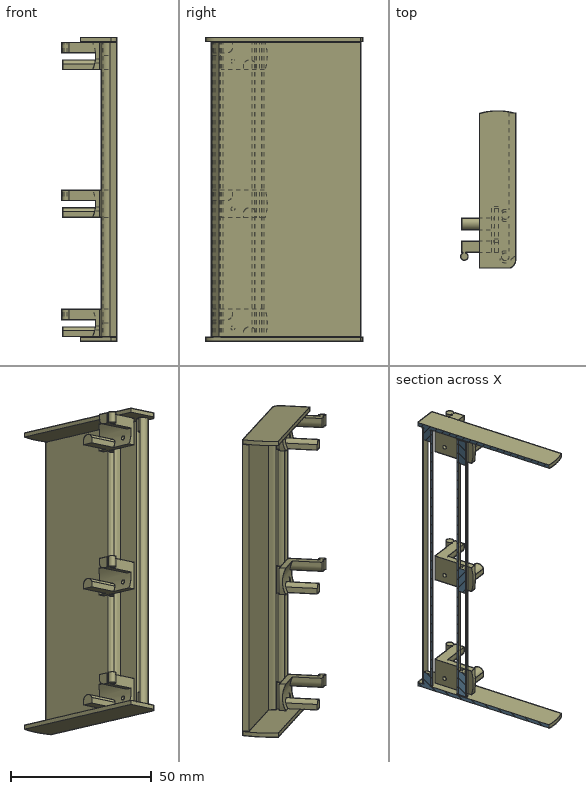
import cadquery as cq
import math

TOTAL_HEIGHT = 107.9
CAP_THICKNESS = 1.5
CAP_CLEARANCE = 0.2
PANEL_BOTTOM = CAP_THICKNESS + CAP_CLEARANCE
PANEL_HEIGHT = TOTAL_HEIGHT - 2 * PANEL_BOTTOM

CAP_WIDTH = 13.0
CAP_LENGTH = 55.9
CAP_BACK_BULGE = 1.0
CAP_NOSE_WIDTH = 2.0
CAP_NOSE_LENGTH = 3.0
CAP_NOSE_BULGE = 0.5
PLUG_LENGTH = 5.0

PANEL_THICKNESS = 2.4
PANEL_BACK_Y = 55.1

SOCKET_OUTER_RADIUS = 2.2
SOCKET_BORE_RADIUS = 1.35
SOCKET_X = -3.8
FRONT_SOCKET_Y = 4.0
CLIP_SOCKET_Y = 18.7
CLIP_MOUTH = (-65.0, 65.0)
FRONT_MOUTH = (-36.0, 65.0)
MOUTH_CUT_REACH = 2 * SOCKET_OUTER_RADIUS

BRACKET_HEIGHT = 9.7
BRACKET_BOTTOMS = (PANEL_BOTTOM, 44.0, TOTAL_HEIGHT - PANEL_BOTTOM - BRACKET_HEIGHT)
BASE_BACK_X = -6.3
BASE_THICKNESS = 2.4
BASE_HOLLOW_DEPTH = 1.1
BASE_FRONT_Y = 5.6
BASE_END_Y = 21.9
BASE_CORNER_Y = 21.1
BASE_HOLE_DIAMETER = 1.4
BASE_HOLE_Y = 9.7
BASE_HOLE_DROP = 6.7
BRACKET_REACH_X = -19.3
ARM_WIDTH = 4.0
ARM_HEIGHT = 3.8
ARM_FILLET = 2.2
PIN_DIAMETER = 2.7
PIN_X = -19.6 + PIN_DIAMETER / 2
PIN_Y = 4.1
NECK_WIDTH = 1.1
PEG_WIDTH = 4.2
PEG_Y = 15.6
PEG_SIDE_HEIGHT = 2.0
PEG_HEIGHT = 3.5


def polar_point(center_y, radius, angle):
    """Point around a socket axis, at an angle in degrees from -X toward +Y."""
    turn = math.radians(angle)
    return (SOCKET_X - radius * math.cos(turn), center_y + radius * math.sin(turn))


def round_rod(points, radius):
    """Rods of the panel's length, centered at the given XY points."""
    return cq.Workplane().pushPoints(points).circle(radius).extrude(PANEL_HEIGHT)


def socket_opening(center_y, mouth):
    """Round bore of a socket together with the wedge that opens it toward -X."""
    start, end = mouth
    wedge = (
        cq.Workplane()
        .polyline([
            (SOCKET_X, center_y),
            polar_point(center_y, MOUTH_CUT_REACH, start),
            polar_point(center_y, MOUTH_CUT_REACH, (start + end) / 2),
            polar_point(center_y, MOUTH_CUT_REACH, end),
        ])
        .close()
        .extrude(PANEL_HEIGHT)
    )
    return round_rod([(SOCKET_X, center_y)], SOCKET_BORE_RADIUS).union(wedge)


def socket_foot(start_y, end_y):
    """Block with flat side walls that joins a socket to the plate."""
    return (
        cq.Workplane()
        .box(-PANEL_THICKNESS - SOCKET_X, end_y - start_y, PANEL_HEIGHT, centered=False)
        .translate((SOCKET_X, start_y, 0))
    )


def socket_lips(center_y, mouth):
    """Full rounds on both edges of a socket's mouth."""
    lip_radius = (SOCKET_OUTER_RADIUS - SOCKET_BORE_RADIUS) / 2
    lip_center_radius = SOCKET_BORE_RADIUS + lip_radius
    return round_rod([polar_point(center_y, lip_center_radius, angle) for angle in mouth], lip_radius)


def add_socket(plate, center_y, mouth, foot_start_y):
    """Plate with one socket whose foot runs from foot_start_y to the socket's rear wall."""
    tube = round_rod([(SOCKET_X, center_y)], SOCKET_OUTER_RADIUS)
    foot = socket_foot(foot_start_y, center_y + SOCKET_OUTER_RADIUS)
    solid = plate.union(tube).union(foot)
    return solid.cut(socket_opening(center_y, mouth)).union(socket_lips(center_y, mouth))


def make_panel():
    """Plate with a 45 degree front edge tangent to the front socket, plus two sockets."""
    bevel_offset = SOCKET_OUTER_RADIUS * math.sqrt(2)
    bevel_outer_y = FRONT_SOCKET_Y - SOCKET_X - bevel_offset
    panel = (
        cq.Workplane()
        .polyline([
            (0, bevel_outer_y),
            (0, PANEL_BACK_Y),
            (-PANEL_THICKNESS, PANEL_BACK_Y),
            (-PANEL_THICKNESS, bevel_outer_y - PANEL_THICKNESS),
        ])
        .close()
        .extrude(PANEL_HEIGHT)
    )
    panel = add_socket(panel, FRONT_SOCKET_Y, FRONT_MOUTH, FRONT_SOCKET_Y)
    panel = add_socket(panel, CLIP_SOCKET_Y, CLIP_MOUTH, CLIP_SOCKET_Y - SOCKET_OUTER_RADIUS)
    return panel.translate((0, 0, PANEL_BOTTOM))


def make_cap(bottom_z, plug_bottom_z):
    """Flat end cap with a plug that fills the end of the front socket's bore."""
    corner_y = CAP_LENGTH - CAP_BACK_BULGE
    nose_chord = math.hypot(CAP_NOSE_WIDTH, CAP_NOSE_LENGTH)
    nose_middle = (
        -CAP_NOSE_WIDTH / 2 + CAP_NOSE_BULGE * CAP_NOSE_LENGTH / nose_chord,
        CAP_NOSE_LENGTH / 2 - CAP_NOSE_BULGE * CAP_NOSE_WIDTH / nose_chord,
    )
    plate = (
        cq.Workplane()
        .workplane(offset=bottom_z)
        .moveTo(-CAP_WIDTH, 0)
        .lineTo(-CAP_NOSE_WIDTH, 0)
        .threePointArc(nose_middle, (0, CAP_NOSE_LENGTH))
        .lineTo(0, corner_y)
        .threePointArc((-CAP_WIDTH / 2, CAP_LENGTH), (-CAP_WIDTH, corner_y))
        .close()
        .extrude(CAP_THICKNESS)
    )
    plug = (
        cq.Workplane()
        .workplane(offset=plug_bottom_z)
        .center(SOCKET_X, FRONT_SOCKET_Y)
        .circle(SOCKET_BORE_RADIUS)
        .extrude(PLUG_LENGTH)
    )
    return plate.union(plug)


def bracket_base():
    """Upright plate with a bowed rear end, a hollow -X face and a small through hole."""
    front_x = BASE_BACK_X - BASE_THICKNESS
    base = (
        cq.Workplane("YZ", origin=(front_x, 0, 0))
        .moveTo(BASE_FRONT_Y, 0)
        .lineTo(BASE_CORNER_Y, 0)
        .threePointArc((BASE_END_Y, BRACKET_HEIGHT / 2), (BASE_CORNER_Y, BRACKET_HEIGHT))
        .lineTo(BASE_FRONT_Y, BRACKET_HEIGHT)
        .close()
        .extrude(BASE_THICKNESS)
    )
    half_height = BRACKET_HEIGHT / 2
    hollow_radius = (half_height**2 + BASE_HOLLOW_DEPTH**2) / (2 * BASE_HOLLOW_DEPTH)
    hollow = (
        cq.Workplane("XZ")
        .center(front_x + BASE_HOLLOW_DEPTH - hollow_radius, half_height)
        .circle(hollow_radius)
        .extrude(-CAP_LENGTH)
    )
    hole = (
        cq.Workplane("YZ", origin=(front_x, 0, 0))
        .center(BASE_HOLE_Y, BRACKET_HEIGHT - BASE_HOLE_DROP)
        .circle(BASE_HOLE_DIAMETER / 2)
        .extrude(BASE_THICKNESS)
    )
    return base.cut(hollow).cut(hole)


def bracket_arm():
    """Arm level with the bracket top, with an upright pin joined by a thin neck at its tip."""
    arm_bottom = BRACKET_HEIGHT - ARM_HEIGHT
    arm = (
        cq.Workplane()
        .box(BASE_BACK_X - BRACKET_REACH_X, ARM_WIDTH, ARM_HEIGHT, centered=False)
        .edges(">Y and <Z")
        .fillet(ARM_FILLET)
        .translate((BRACKET_REACH_X, BASE_FRONT_Y, arm_bottom))
    )
    pin = (
        cq.Workplane()
        .workplane(offset=arm_bottom)
        .center(PIN_X, PIN_Y)
        .circle(PIN_DIAMETER / 2)
        .extrude(ARM_HEIGHT)
    )
    neck = (
        cq.Workplane()
        .box(NECK_WIDTH, BASE_FRONT_Y - PIN_Y, ARM_HEIGHT, centered=(True, False, False))
        .translate((PIN_X, PIN_Y, arm_bottom))
    )
    return arm.union(pin).union(neck)


def bracket_peg():
    """Peg with a rounded top, level with the underside of the bracket."""
    return (
        cq.Workplane("YZ", origin=(BRACKET_REACH_X, 0, 0))
        .moveTo(PEG_Y - PEG_WIDTH / 2, 0)
        .lineTo(PEG_Y + PEG_WIDTH / 2, 0)
        .lineTo(PEG_Y + PEG_WIDTH / 2, PEG_SIDE_HEIGHT)
        .threePointArc((PEG_Y, PEG_HEIGHT), (PEG_Y - PEG_WIDTH / 2, PEG_SIDE_HEIGHT))
        .close()
        .extrude(BASE_BACK_X - BRACKET_REACH_X)
    )


def bracket_clip():
    """Bead that fills the clip socket's bore, on a neck behind the bracket base."""
    bead = cq.Workplane().center(SOCKET_X, CLIP_SOCKET_Y).circle(SOCKET_BORE_RADIUS).extrude(BRACKET_HEIGHT)
    neck = (
        cq.Workplane()
        .box(SOCKET_X - BASE_BACK_X, NECK_WIDTH, BRACKET_HEIGHT, centered=(False, True, False))
        .translate((BASE_BACK_X, CLIP_SOCKET_Y, 0))
    )
    return bead.union(neck)


def make_bracket(bottom_z):
    bracket = bracket_base().union(bracket_arm()).union(bracket_peg()).union(bracket_clip())
    return bracket.translate((0, 0, bottom_z))


panel = make_panel()
lower_cap = make_cap(0, CAP_THICKNESS)
upper_cap = make_cap(TOTAL_HEIGHT - CAP_THICKNESS, TOTAL_HEIGHT - CAP_THICKNESS - PLUG_LENGTH)
brackets = [make_bracket(bottom_z) for bottom_z in BRACKET_BOTTOMS]

result = cq.Compound.makeCompound(
    [panel.val(), lower_cap.val(), upper_cap.val()] + [bracket.val() for bracket in brackets]
)